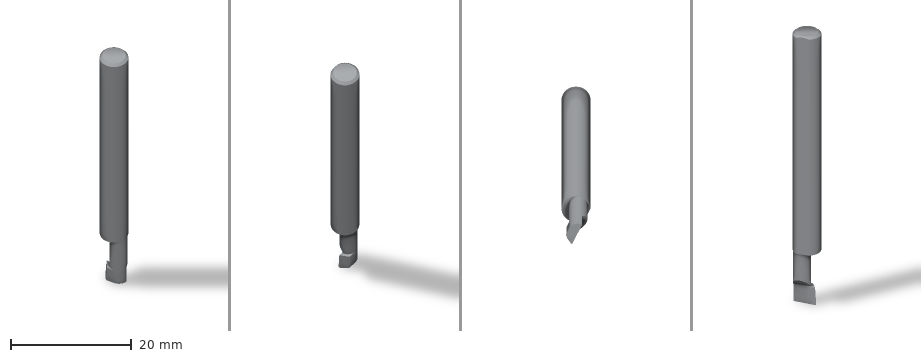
import cadquery as cq

total_length = 50.8

shank_radius = 2.4
flat_distance = 2.15
shank_bottom = 10.15
chamfer_width = 0.45
chamfer_height = 0.4

neck_radius = 1.5
neck_x = shank_radius - neck_radius
relief_bottom = 3.4

head_height = 3.2
head_lean = 0.2
cutting_edge_x = -1.6
flank_x = -1.0
flank_y = -1.1
heel_x = -0.6
corner_size = 0.15

end_rise_x = 0.15
end_rise_y = 0.25
wedge_depth = 0.5


def make_shank():
    length = total_length - shank_bottom
    shank = cq.Workplane("XY").workplane(offset=shank_bottom).circle(shank_radius).extrude(length)
    shank = shank.faces(">Z").chamfer(chamfer_height, chamfer_width)
    width = 2 * shank_radius
    envelope = cq.Workplane("XY").box(width, width, total_length, centered=(True, False, False))
    return shank.intersect(envelope.translate((0, flat_distance - width, 0)))


def make_neck():
    neck = cq.Workplane("XY").center(neck_x, 0).circle(neck_radius).extrude(shank_bottom)
    relief = (
        cq.Workplane("YZ")
        .moveTo(0, 0)
        .lineTo(0, relief_bottom)
        .lineTo(neck_radius, relief_bottom + neck_radius)
        .lineTo(neck_radius, 0)
        .close()
        .extrude(shank_radius, both=True)
    )
    return neck.cut(relief)


def make_head():
    def section(shift):
        return [
            (cutting_edge_x + shift, 0),
            (flank_x + shift, flank_y),
            (heel_x + shift, -neck_radius),
            (neck_x, -neck_radius),
            (neck_x, 0),
        ]

    return (
        cq.Workplane("XY")
        .polyline(section(0)).close()
        .workplane(offset=head_height)
        .polyline(section(head_lean)).close()
        .loft(ruled=True, combine=True)
    )


def make_end_clearance():
    corner_x = cutting_edge_x + corner_size

    def profile(y, rise):
        return cq.Wire.makePolygon(
            [
                cq.Vector(cutting_edge_x, y, -wedge_depth),
                cq.Vector(cutting_edge_x, y, rise + corner_size),
                cq.Vector(corner_x, y, rise),
                cq.Vector(shank_radius, y, rise + end_rise_x),
                cq.Vector(shank_radius, y, -wedge_depth),
            ],
            close=True,
        )

    wedge = cq.Solid.makeLoft([profile(0, 0), profile(-neck_radius, end_rise_y)], True)
    return cq.Workplane(obj=wedge)


tip = make_neck().union(make_head()).cut(make_end_clearance())
result = make_shank().union(tip)